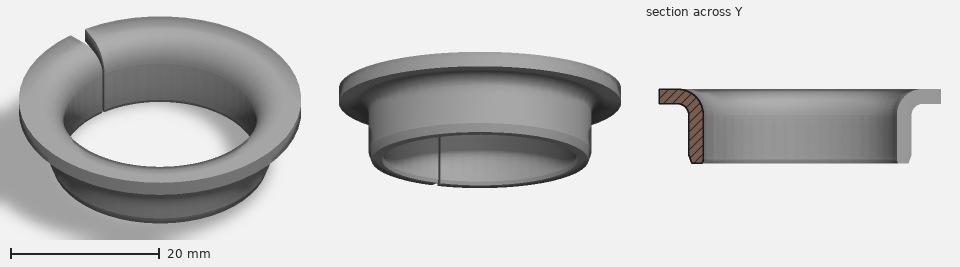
import cadquery as cq
import math

flange_radius = 19.0
height = 10.0
flange_thickness = 2.0
sleeve_radius = 15.0
bore_radius = 13.0

mouth_radius = 3.5
fillet_radius = mouth_radius - flange_thickness
bend_center_radius = bore_radius + mouth_radius
bend_center_z = height - mouth_radius

lead_in_height = 1.15
flare_height = 0.5
taper_angle = math.radians(20)
lead_in_inset = lead_in_height * math.tan(taper_angle)
flare_inset = flare_height * math.tan(taper_angle)

split_bore_half_gap = 0.15
split_half_angle = math.radians(10)


def arc_midpoint(radius):
    """Middle of the quarter bend that joins the sleeve to the flange."""
    offset = radius * math.sqrt(0.5)
    return (bend_center_radius - offset, bend_center_z + offset)


def make_ring():
    """Revolve the wall section: X is the radius and Y is the height."""
    section = (
        cq.Workplane("XZ")
        .moveTo(bore_radius + flare_inset, 0)
        .lineTo(sleeve_radius - lead_in_inset, 0)
        .lineTo(sleeve_radius, lead_in_height)
        .lineTo(sleeve_radius, bend_center_z)
        .threePointArc(
            arc_midpoint(fillet_radius),
            (sleeve_radius + fillet_radius, height - flange_thickness),
        )
        .lineTo(flange_radius, height - flange_thickness)
        .lineTo(flange_radius, height)
        .lineTo(bend_center_radius, height)
        .threePointArc(arc_midpoint(mouth_radius), (bore_radius, bend_center_z))
        .lineTo(bore_radius, flare_height)
        .close()
    )
    ring = section.revolve(360, (0, 0, 0), (0, 1, 0))
    return ring.rotate((0, 0, 0), (0, 0, 1), 180)


def make_split():
    """Wedge that opens outward, with its tip inside the bore."""
    slope = math.tan(split_half_angle)
    tip_x = -bore_radius + split_bore_half_gap / slope
    outer_half_gap = (flange_radius + tip_x) * slope
    return (
        cq.Workplane("XY")
        .polyline([(tip_x, 0), (-flange_radius, outer_half_gap), (-flange_radius, -outer_half_gap)])
        .close()
        .extrude(height)
    )


result = make_ring().cut(make_split())